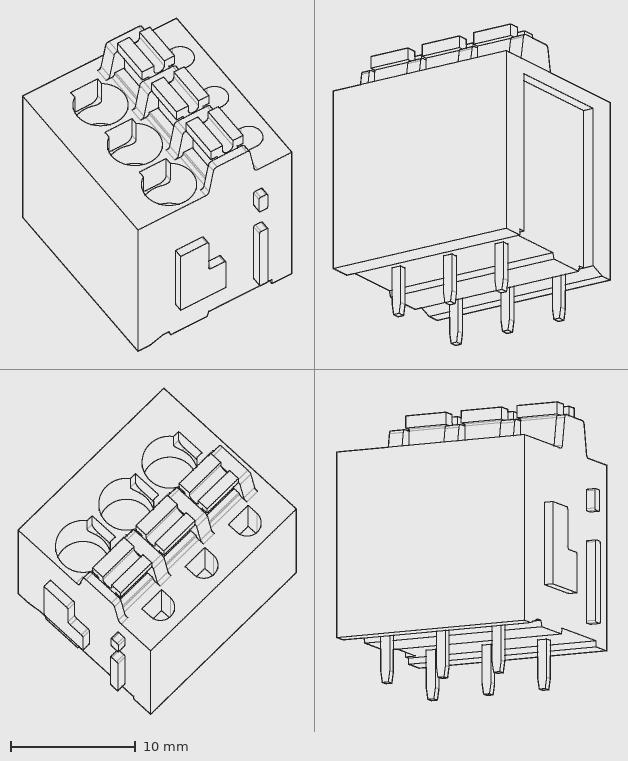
import cadquery as cq


WIDTH = 16.82
DEPTH = 14.8
HEIGHT = 15.16

POLES = 3
PITCH = 5.0

RIB_WIDTH = 1.25
FIRST_RIB_X = 1.1
RIB_HEIGHT = 2.9
RIB_MIDDLE_Y = 9.01
RIB_BASE_DEPTH = 4.45
RIB_TOP_DEPTH = 3.4
RIB_FILLET = 0.35

BAY_WIDTH = PITCH - RIB_WIDTH
FIRST_BAY_X = FIRST_RIB_X + RIB_WIDTH + BAY_WIDTH / 2
SILL_HEIGHT = 0.4
SILL_FILLET = 0.27
SILL_ROUND = 0.1

PLATE_THICKNESS = 0.23

BUTTON_WIDTH = 3.6
BUTTON_TOP_Z = 19.18
HEAD_BOTTOM_Z = 18.18
HEAD_FRONT_Y = 7.54
HEAD_BACK_Y = 10.65
STEM_FRONT_Y = 8.2
STEM_BACK_Y = 10.1
STEM_FILLET = 0.14
STEM_SEAT = 1.36
STEM_BOTTOM_Z = HEIGHT + SILL_HEIGHT - STEM_SEAT
GROOVE_Y = 9.17
GROOVE_WIDTH = 0.98
GROOVE_BOTTOM_Z = 18.07

BORE_DIAMETER = 4.43
BORE_Y = 4.72
BORE_DEPTH = 5.0
SLOT_LEFT_REACH = 2.38
SLOT_DEPTH = 2.72
SLOT_WIDTH = 2.59
SLOT_FLOOR_FILLET = 0.65

PROBE_X = 3.6
PROBE_WIDTH = 2.27
PROBE_FRONT_Y = 11.8
PROBE_BACK_Y = 13.92
PROBE_DEPTH = 5.0

RECESS_DEPTH = 0.93
RECESS_FRONT_Y = 2.45
RECESS_BACK_Y = 12.3
RECESS_TOP_Z = 13.94

NOTCH_HEIGHT = 0.5
BACK_NOTCH_BACK_Y = 12.87
BACK_NOTCH_FRONT_Y = 6.8
FRONT_NOTCH_BACK_Y = 3.0
FRONT_NOTCH_FLAT_Y = 2.43
FRONT_NOTCH_FRONT_Y = 1.15
NOTCH_SLANT = 0.15

PEG_FRONT_Y = 11.12
PEG_BACK_Y = 11.96
PEG_FILLET = 0.15
UPPER_PEG_LENGTH = 0.77
UPPER_PEG_BOTTOM_Z = 10.83
UPPER_PEG_TOP_Z = 12.6
LOWER_PEG_LENGTH = 0.85
LOWER_PEG_BOTTOM_Z = 1.65
LOWER_PEG_TOP_Z = 8.4
KEY_LENGTH = 0.75
KEY_FRONT_Y = 3.6
KEY_STEP_Y = 6.3
KEY_BACK_Y = 7.97
KEY_BOTTOM_Z = 3.52
KEY_STEP_Z = 6.8
KEY_TOP_Z = 10.24
KEY_ROUND = 0.18
KEY_STEP_FILLET = 0.25

PIN_X = 3.2
PIN_WIDTH = 0.82
PIN_TIP_WIDTH = 0.55
PIN_THICKNESS = 0.65
PIN_LENGTH = 3.52
PIN_TAPER_LENGTH = 0.9
PIN_SEAT = 1.0
PIN_TOP_Z = NOTCH_HEIGHT + PIN_SEAT
PIN_ROWS_Y = [2.63, 10.8]


def block(x0, x1, y0, y1, z0, z1):
    """Box between two corners."""
    return cq.Workplane("XY").box(x1 - x0, y1 - y0, z1 - z0, centered=False).translate((x0, y0, z0))


def side_prism(outline, x0, x1):
    """Closed outline of (y, z) points swept along X."""
    return cq.Workplane("YZ").polyline(outline).close().extrude(x1 - x0).translate((x0, 0, 0))


def strip_on_top(x0, x1, base_depth, top_depth, height, foot_fillet, top_round):
    """Strip along X on the housing top, symmetric about the rib middle, with blended foot."""
    half_base = base_depth / 2
    half_top = top_depth / 2
    half_plate = half_base + 2 * foot_fillet
    outline = [
        (-half_plate, -PLATE_THICKNESS),
        (half_plate, -PLATE_THICKNESS),
        (half_plate, 0),
        (half_base, 0),
        (half_top, height),
        (-half_top, height),
        (-half_base, 0),
        (-half_plate, 0),
    ]
    strip = side_prism(outline, x0, x1)
    margin = foot_fillet / 2
    foot_zone = cq.selectors.BoxSelector(
        (x0, -half_base - margin, -margin),
        (x1, half_base + margin, margin),
    )
    strip = strip.edges("|X").edges(foot_zone).fillet(foot_fillet)
    strip = strip.faces(">Z").edges("|X").fillet(top_round)
    return strip.translate((0, RIB_MIDDLE_Y, HEIGHT))


def rib(x0):
    """Tapered rib; the last one is cut short by the right side face."""
    x1 = min(x0 + RIB_WIDTH, WIDTH)
    return strip_on_top(x0, x1, RIB_BASE_DEPTH, RIB_TOP_DEPTH, RIB_HEIGHT, RIB_FILLET, RIB_FILLET)


def sill(x0):
    """Low sill that fills the bay between two ribs."""
    return strip_on_top(
        x0, x0 + BAY_WIDTH, RIB_TOP_DEPTH, RIB_TOP_DEPTH, SILL_HEIGHT, SILL_FILLET, SILL_ROUND
    )


def wire_entry(x):
    """Cutter for one round bore with the shallower slot at its left side."""
    bore = (
        cq.Workplane("XY", origin=(x, BORE_Y, HEIGHT - BORE_DEPTH))
        .circle(BORE_DIAMETER / 2)
        .extrude(BORE_DEPTH)
    )
    half_slot = SLOT_WIDTH / 2
    slot_floor_z = HEIGHT - SLOT_DEPTH
    slot = block(x - SLOT_LEFT_REACH, x, BORE_Y - half_slot, BORE_Y + half_slot, slot_floor_z, HEIGHT)
    slot = slot.faces("<Z").edges("|X").fillet(SLOT_FLOOR_FILLET)
    return bore.union(slot)


def probe_opening(x):
    """Cutter for one test probe opening."""
    half_width = PROBE_WIDTH / 2
    arc_start_y = PROBE_BACK_Y - half_width
    return (
        cq.Workplane("XY", origin=(x, 0, HEIGHT - PROBE_DEPTH))
        .moveTo(-half_width, PROBE_FRONT_Y)
        .lineTo(half_width, PROBE_FRONT_Y)
        .lineTo(half_width, arc_start_y)
        .threePointArc((0, PROBE_BACK_Y), (-half_width, arc_start_y))
        .close()
        .extrude(PROBE_DEPTH)
    )


def underside_notches():
    """Cutters for the two notches that cross the whole underside."""
    back_notch = [
        (BACK_NOTCH_FRONT_Y - NOTCH_SLANT, 0),
        (BACK_NOTCH_BACK_Y, 0),
        (BACK_NOTCH_BACK_Y, NOTCH_HEIGHT),
        (BACK_NOTCH_FRONT_Y, NOTCH_HEIGHT),
    ]
    front_notch = [
        (FRONT_NOTCH_FRONT_Y, 0),
        (FRONT_NOTCH_BACK_Y + NOTCH_SLANT, 0),
        (FRONT_NOTCH_BACK_Y, NOTCH_HEIGHT),
        (FRONT_NOTCH_FLAT_Y, NOTCH_HEIGHT),
    ]
    return side_prism(back_notch, 0, WIDTH).union(side_prism(front_notch, 0, WIDTH))


def peg(length, z0, z1):
    """Rounded coupling peg on the right side face."""
    return block(WIDTH, WIDTH + length, PEG_FRONT_Y, PEG_BACK_Y, z0, z1).edges("|X").fillet(PEG_FILLET)


def edge_at(y, z):
    """Selector for the key's edge along X at the given place."""
    return cq.selectors.NearestToPointSelector((WIDTH + KEY_LENGTH / 2, y, z))


def coupling_key():
    """Stepped key on the right side face, high at the front and low at the back."""
    outline = [
        (KEY_FRONT_Y, KEY_BOTTOM_Z),
        (KEY_BACK_Y, KEY_BOTTOM_Z),
        (KEY_BACK_Y, KEY_STEP_Z),
        (KEY_STEP_Y, KEY_STEP_Z),
        (KEY_STEP_Y, KEY_TOP_Z),
        (KEY_FRONT_Y, KEY_TOP_Z),
    ]
    key = side_prism(outline, WIDTH, WIDTH + KEY_LENGTH)
    key = key.edges(edge_at(KEY_STEP_Y, KEY_STEP_Z)).fillet(KEY_STEP_FILLET)
    key = key.edges(edge_at(KEY_STEP_Y, KEY_TOP_Z)).fillet(KEY_ROUND)
    return key.edges(edge_at(KEY_BACK_Y, KEY_STEP_Z)).fillet(KEY_ROUND)


def make_button(x):
    """Release button centred on x, with its stem seated in the housing."""
    x0 = x - BUTTON_WIDTH / 2
    groove_radius = GROOVE_WIDTH / 2
    groove_front_y = GROOVE_Y - groove_radius
    groove_back_y = GROOVE_Y + groove_radius
    groove_arc_z = GROOVE_BOTTOM_Z + groove_radius
    return (
        cq.Workplane("YZ", origin=(x0, 0, 0))
        .moveTo(STEM_FRONT_Y, STEM_BOTTOM_Z)
        .lineTo(STEM_BACK_Y, STEM_BOTTOM_Z)
        .lineTo(STEM_BACK_Y, HEAD_BOTTOM_Z)
        .lineTo(HEAD_BACK_Y, HEAD_BOTTOM_Z)
        .lineTo(HEAD_BACK_Y, BUTTON_TOP_Z)
        .lineTo(groove_back_y, BUTTON_TOP_Z)
        .lineTo(groove_back_y, groove_arc_z)
        .threePointArc((GROOVE_Y, GROOVE_BOTTOM_Z), (groove_front_y, groove_arc_z))
        .lineTo(groove_front_y, BUTTON_TOP_Z)
        .lineTo(HEAD_FRONT_Y, BUTTON_TOP_Z)
        .lineTo(HEAD_FRONT_Y, HEAD_BOTTOM_Z)
        .lineTo(STEM_FRONT_Y - STEM_FILLET, HEAD_BOTTOM_Z)
        .radiusArc((STEM_FRONT_Y, HEAD_BOTTOM_Z - STEM_FILLET), STEM_FILLET)
        .close()
        .extrude(BUTTON_WIDTH)
    )


def make_pin(x, y):
    """Flat solder pin centred on (x, y), tapered in width at its tip."""
    half_width = PIN_WIDTH / 2
    half_tip = PIN_TIP_WIDTH / 2
    taper_z = -PIN_LENGTH + PIN_TAPER_LENGTH
    outline = [
        (-half_width, PIN_TOP_Z),
        (half_width, PIN_TOP_Z),
        (half_width, taper_z),
        (half_tip, -PIN_LENGTH),
        (-half_tip, -PIN_LENGTH),
        (-half_width, taper_z),
    ]
    return (
        cq.Workplane("XZ", origin=(x, y, 0))
        .polyline(outline)
        .close()
        .extrude(PIN_THICKNESS / 2, both=True)
    )


def make_housing(inserts):
    """Housing with all its features and a matching seat for each inserted body."""
    housing = block(0, WIDTH, 0, DEPTH, 0, HEIGHT)
    for i in range(POLES + 1):
        housing = housing.union(rib(FIRST_RIB_X + i * PITCH))
    for i in range(POLES):
        housing = housing.union(sill(FIRST_RIB_X + RIB_WIDTH + i * PITCH))
    for i in range(POLES):
        housing = housing.cut(wire_entry(FIRST_BAY_X + i * PITCH))
        housing = housing.cut(probe_opening(PROBE_X + i * PITCH))
    housing = housing.cut(block(0, RECESS_DEPTH, RECESS_FRONT_Y, RECESS_BACK_Y, 0, RECESS_TOP_Z))
    housing = housing.cut(underside_notches())
    housing = housing.union(peg(UPPER_PEG_LENGTH, UPPER_PEG_BOTTOM_Z, UPPER_PEG_TOP_Z))
    housing = housing.union(peg(LOWER_PEG_LENGTH, LOWER_PEG_BOTTOM_Z, LOWER_PEG_TOP_Z))
    housing = housing.union(coupling_key())
    for insert in inserts:
        housing = housing.cut(insert)
    return housing


buttons = [make_button(FIRST_BAY_X + i * PITCH) for i in range(POLES)]
pins = [make_pin(PIN_X + i * PITCH, y) for y in PIN_ROWS_Y for i in range(POLES)]
housing = make_housing(buttons + pins)

result = cq.Compound.makeCompound([housing.val(), *[body.val() for body in buttons + pins]])